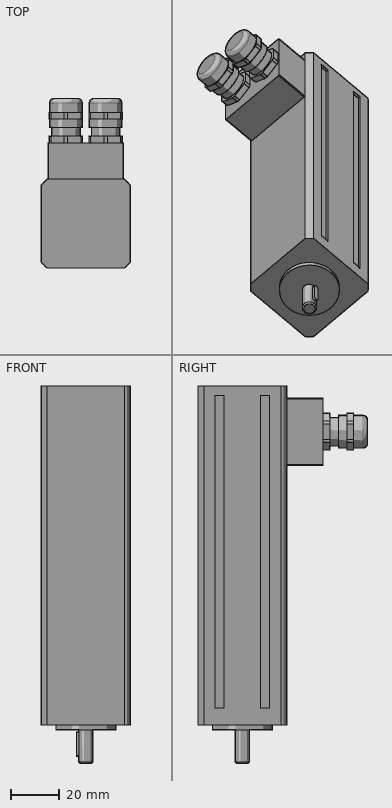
import cadquery as cq

HOUSING_WIDTH = 37.0
HOUSING_CORNER_DIAMETER = 49.0
TOTAL_HEIGHT = 157.0
SHAFT_LENGTH = 14.0
FLANGE_DIAMETER = 25.0
FLANGE_THICKNESS = 2.0
HOUSING_HEIGHT = TOTAL_HEIGHT - SHAFT_LENGTH - FLANGE_THICKNESS

GROOVE_WIDTH = 3.8
GROOVE_DEPTH = 1.1
GROOVE_OFFSET = 9.4
GROOVE_BOTTOM_MARGIN = 7.0
GROOVE_TOP_MARGIN = 4.0

SHAFT_DIAMETER = 6.0
SHAFT_END_CHAMFER = 0.6
KEY_WIDTH = 2.0
KEY_LENGTH = 10.0
KEY_PROTRUSION = 1.0
KEY_GAP_TO_FLANGE = 1.0

TOTAL_DEPTH = 70.6
BOX_WIDTH = 31.5
BOX_HEIGHT = 28.0
BOX_DEPTH = 15.0
BOX_TOP_MARGIN = 5.0
BOX_EDGE_CHAMFER = 0.4

GLAND_SPACING = 16.5
GLAND_LENGTH = TOTAL_DEPTH - HOUSING_WIDTH - BOX_DEPTH
BASE_NUT_END = 2.8
NECK_END = 6.5
COLLAR_END = 9.9
CAP_NUT_END = 12.7
NUT_ACROSS_FLATS = 14.0
NUT_ACROSS_CORNERS = 15.4
NECK_DIAMETER = 12.0
COLLAR_DIAMETER = 13.7
CAP_DIAMETER = 13.7
CAP_ROUNDING = 2.0

FLANGE_BOTTOM = -FLANGE_THICKNESS
BOX_START = HOUSING_WIDTH / 2
BOX_END = BOX_START + BOX_DEPTH
BOX_CENTRE_HEIGHT = HOUSING_HEIGHT - BOX_TOP_MARGIN - BOX_HEIGHT / 2


def make_housing():
    """Square column, its corners turned to a common cylinder, with the mounting flange and the side grooves."""
    column = cq.Workplane("XY").rect(HOUSING_WIDTH, HOUSING_WIDTH).extrude(HOUSING_HEIGHT)
    corner_limit = cq.Workplane("XY").circle(HOUSING_CORNER_DIAMETER / 2).extrude(HOUSING_HEIGHT)
    column = column.intersect(corner_limit)
    flange = cq.Workplane("XY").circle(FLANGE_DIAMETER / 2).extrude(FLANGE_BOTTOM)
    body = column.union(flange)

    groove_length = HOUSING_HEIGHT - GROOVE_BOTTOM_MARGIN - GROOVE_TOP_MARGIN
    groove_middle = GROOVE_BOTTOM_MARGIN + groove_length / 2
    for side in (-1, 1):
        for y in (-GROOVE_OFFSET, GROOVE_OFFSET):
            groove = cq.Workplane("XY").box(2 * GROOVE_DEPTH, GROOVE_WIDTH, groove_length)
            body = body.cut(groove.translate((side * HOUSING_WIDTH / 2, y, groove_middle)))
    return body


def make_shaft():
    """Round shaft, chamfered at its free end, with a round-ended key."""
    shaft = (
        cq.Workplane("XY", origin=(0, 0, FLANGE_BOTTOM))
        .circle(SHAFT_DIAMETER / 2)
        .extrude(-SHAFT_LENGTH)
    )
    shaft = shaft.faces("<Z").chamfer(SHAFT_END_CHAMFER)

    key_middle = FLANGE_BOTTOM - KEY_GAP_TO_FLANGE - KEY_LENGTH / 2
    key_reach = SHAFT_DIAMETER / 2 + KEY_PROTRUSION
    key = (
        cq.Workplane("YZ", origin=(0, 0, key_middle))
        .slot2D(KEY_LENGTH, KEY_WIDTH, 90)
        .extrude(-key_reach)
    )
    return shaft.union(key)


def make_box():
    """Rectangular box with its four edges along Y broken by small chamfers."""
    box = cq.Workplane("XY").box(BOX_WIDTH, BOX_DEPTH, BOX_HEIGHT)
    box = box.edges("|Y").chamfer(BOX_EDGE_CHAMFER)
    return box.translate((0, BOX_START + BOX_DEPTH / 2, BOX_CENTRE_HEIGHT))


def make_round_section(start, end, diameter):
    """Cylinder along Z between two gland stations."""
    return cq.Workplane("XY", origin=(0, 0, start)).circle(diameter / 2).extrude(end - start)


def make_nut(start, end):
    """Hexagonal section with flats facing -X and +X and its corners turned down."""
    hexagon = (
        cq.Workplane("XY", origin=(0, 0, start))
        .polygon(6, NUT_ACROSS_FLATS, circumscribed=True)
        .extrude(end - start)
    )
    return hexagon.intersect(make_round_section(start, end, NUT_ACROSS_CORNERS))


def make_gland(x):
    """Cable gland built along Z, then laid along +Y on the face of the box."""
    cap = make_round_section(CAP_NUT_END, GLAND_LENGTH, CAP_DIAMETER)
    cap = cap.edges(">Z").fillet(CAP_ROUNDING)
    gland = (
        make_nut(0, BASE_NUT_END)
        .union(make_round_section(BASE_NUT_END, NECK_END, NECK_DIAMETER))
        .union(make_round_section(NECK_END, COLLAR_END, COLLAR_DIAMETER))
        .union(make_nut(COLLAR_END, CAP_NUT_END))
        .union(cap)
    )
    gland = gland.rotate((0, 0, 0), (1, 0, 0), -90)
    return gland.translate((x, BOX_END, BOX_CENTRE_HEIGHT))


housing = make_housing()
shaft = make_shaft()
box = make_box()
glands = [make_gland(side * GLAND_SPACING / 2) for side in (-1, 1)]

result = cq.Compound.makeCompound(
    [housing.val(), shaft.val(), box.val(), *[gland.val() for gland in glands]]
)